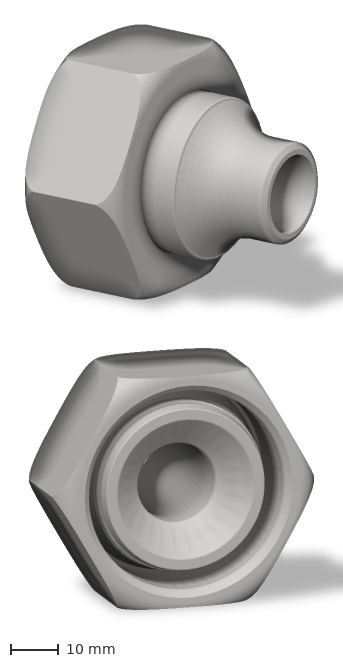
import cadquery as cq
import math


NUT_LENGTH = 24.0
HEX_SIDES = 6
ACROSS_FLATS = 50.0
ACROSS_CORNERS = 57.7
NUT_EDGE_RADIUS = 4.55
NUT_BORE_DIA = 42.8
NUT_MOUTH_DIA = 45.8
NUT_MOUTH_EDGE_RADIUS = 0.25
NUT_BORE_EDGE_RADIUS = 1.0
NUT_GUIDE_DIA = 41.2
NUT_GUIDE_LENGTH = 2.9
NUT_FLOOR_THICKNESS = 4.6
NUT_BACK_HOLE_DIA = 35.35

NIPPLE_END_X = 50.5
NOSE_X = 2.0
NOSE_DIA = 34.9
NOSE_EDGE_RADIUS = 0.35
CONE_HALF_ANGLE = 12.0
FLANGE_DIA = 40.8
NECK_DIA = 34.9
NECK_END_X = 32.15
NECK_EDGE_RADIUS = 0.5
TAIL_DIA = 22.0
TAIL_START_X = 42.7
BLEND_RADIUS = 12.45
BEVEL_LENGTH = 0.9
BEVEL_DEPTH = 1.3
BEVEL_EDGE_RADIUS = 0.6
BORE_DIA = 17.0
COUNTERSINK_DIA = 30.2
COUNTERSINK_ANGLE = 45.0
SINK_EDGE_RADIUS = 0.5
BORE_EDGE_RADIUS = 1.0

GROOVE_LIP_DIA = 36.05
GROOVE_WIDTH = 3.0
RING_SECTION_DIA = 2.55
RING_OUTER_DIA = 37.05

MATCH_TOLERANCE = 0.0005

cone_slope = math.tan(math.radians(CONE_HALF_ANGLE))
cone_end_x = NOSE_X + (FLANGE_DIA - NOSE_DIA) / 2 / cone_slope
flange_back_x = NUT_LENGTH - NUT_FLOOR_THICKNESS
groove_start_x = NOSE_X + (GROOVE_LIP_DIA - NOSE_DIA) / 2 / cone_slope
ring_center_x = groove_start_x + GROOVE_WIDTH / 2
ring_center_radius = (RING_OUTER_DIA - RING_SECTION_DIA) / 2
groove_floor_radius = ring_center_radius - RING_SECTION_DIA / 2


def revolve_about_x(profile):
    """Turn a closed XY half-profile (Y = radius) a full turn about the X axis."""
    return profile.close().revolve(360, (0, 0, 0), (1, 0, 0))


def disc(start_x, length, radius):
    """Solid cylinder on the X axis."""
    return cq.Workplane("YZ", origin=(start_x, 0, 0)).circle(radius).extrude(length)


def circle_at(body, x, radius):
    """Select the circular edge of the given radius at the given X."""
    found = [
        edge
        for edge in body.edges("%CIRCLE").vals()
        if math.isclose(edge.Center().x, x, abs_tol=MATCH_TOLERANCE)
        and math.isclose(edge.radius(), radius, abs_tol=MATCH_TOLERANCE)
    ]
    return body.newObject(found)


def make_nut():
    """Hexagon nut with rounded ends and a stepped bore; two corners lie on the Y axis.

    The guide bore behind the ledge holds the nipple flange with a small clearance.
    """
    hexagon_dia = ACROSS_FLATS / math.cos(math.pi / HEX_SIDES)
    hexagon = cq.Workplane("YZ").polygon(HEX_SIDES, hexagon_dia).extrude(NUT_LENGTH)
    rounded_envelope = disc(0, NUT_LENGTH, ACROSS_CORNERS / 2).edges().fillet(NUT_EDGE_RADIUS)
    body = hexagon.intersect(rounded_envelope)

    mouth_radius = NUT_MOUTH_DIA / 2
    bore_radius = NUT_BORE_DIA / 2
    guide_radius = NUT_GUIDE_DIA / 2
    hole_radius = NUT_BACK_HOLE_DIA / 2
    mouth_depth = mouth_radius - bore_radius
    ledge_x = flange_back_x - NUT_GUIDE_LENGTH
    stepped_bore = revolve_about_x(
        cq.Workplane("XY")
        .moveTo(0, 0)
        .lineTo(0, mouth_radius)
        .lineTo(mouth_depth, bore_radius)
        .lineTo(ledge_x, bore_radius)
        .lineTo(ledge_x, guide_radius)
        .lineTo(flange_back_x, guide_radius)
        .lineTo(flange_back_x, hole_radius)
        .lineTo(NUT_LENGTH, hole_radius)
        .lineTo(NUT_LENGTH, 0)
    )
    body = body.cut(stepped_bore)
    body = circle_at(body, 0, mouth_radius).fillet(NUT_MOUTH_EDGE_RADIUS)
    return circle_at(body, mouth_depth, bore_radius).fillet(NUT_BORE_EDGE_RADIUS)


def make_nipple():
    """Turned nipple: cone nose, flange, neck, concave blend and bevelled tail, bored through."""
    tail_radius = TAIL_DIA / 2
    neck_radius = NECK_DIA / 2
    blend_run = TAIL_START_X - NECK_END_X
    blend_start_radius = tail_radius + BLEND_RADIUS - math.sqrt(BLEND_RADIUS**2 - blend_run**2)
    half_angle = math.asin(blend_run / BLEND_RADIUS) / 2
    blend_middle = (
        TAIL_START_X - BLEND_RADIUS * math.sin(half_angle),
        tail_radius + BLEND_RADIUS * (1 - math.cos(half_angle)),
    )
    body = revolve_about_x(
        cq.Workplane("XY")
        .moveTo(NOSE_X, 0)
        .lineTo(NOSE_X, NOSE_DIA / 2)
        .lineTo(cone_end_x, FLANGE_DIA / 2)
        .lineTo(flange_back_x, FLANGE_DIA / 2)
        .lineTo(flange_back_x, neck_radius)
        .lineTo(NECK_END_X, neck_radius)
        .lineTo(NECK_END_X, blend_start_radius)
        .threePointArc(blend_middle, (TAIL_START_X, tail_radius))
        .lineTo(NIPPLE_END_X - BEVEL_LENGTH, tail_radius)
        .lineTo(NIPPLE_END_X, tail_radius - BEVEL_DEPTH)
        .lineTo(NIPPLE_END_X, 0)
    )
    body = circle_at(body, NOSE_X, NOSE_DIA / 2).fillet(NOSE_EDGE_RADIUS)
    body = circle_at(body, NECK_END_X, neck_radius).fillet(NECK_EDGE_RADIUS)
    body = circle_at(body, NIPPLE_END_X - BEVEL_LENGTH, tail_radius).fillet(BEVEL_EDGE_RADIUS)

    bore_radius = BORE_DIA / 2
    sink_radius = COUNTERSINK_DIA / 2
    sink_end_x = NOSE_X + (sink_radius - bore_radius) / math.tan(math.radians(COUNTERSINK_ANGLE))
    bore = revolve_about_x(
        cq.Workplane("XY")
        .moveTo(NOSE_X, 0)
        .lineTo(NOSE_X, sink_radius)
        .lineTo(sink_end_x, bore_radius)
        .lineTo(NIPPLE_END_X, bore_radius)
        .lineTo(NIPPLE_END_X, 0)
    )
    body = body.cut(bore)
    body = circle_at(body, NOSE_X, sink_radius).fillet(SINK_EDGE_RADIUS)
    body = circle_at(body, sink_end_x, bore_radius).fillet(BORE_EDGE_RADIUS)

    groove_blank = disc(groove_start_x, GROOVE_WIDTH, FLANGE_DIA / 2)
    groove_core = disc(groove_start_x, GROOVE_WIDTH, groove_floor_radius)
    return body.cut(groove_blank.cut(groove_core))


def make_o_ring():
    """O-ring seated on the floor of the nose groove."""
    return (
        cq.Workplane("XY")
        .center(ring_center_x, ring_center_radius)
        .circle(RING_SECTION_DIA / 2)
        .revolve(360, (0, -ring_center_radius, 0), (1, -ring_center_radius, 0))
    )


nut = make_nut()
nipple = make_nipple()
o_ring = make_o_ring()

result = cq.Compound.makeCompound([nut.val(), nipple.val(), o_ring.val()])